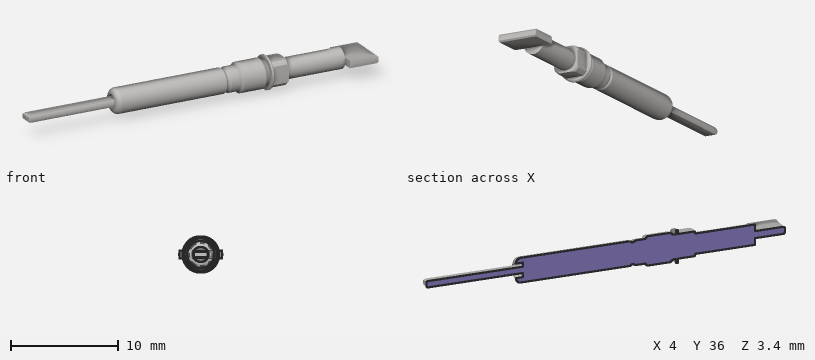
import cadquery as cq
import math

total_length = 36.0

paddle_width = 4.0
paddle_length = 3.0
paddle_thickness = 0.75
paddle_bevel = 0.15

shank_diameter = 2.1
shank_length = 6.0

square_width = 2.52
square_corner_diameter = 3.1
square_bevel_length = 0.18
square_bevel_depth = 0.15

flange_diameter = 3.4
flange_start = 25.02
flange_thickness = 0.3
flange_bevel = 0.1

sleeve_diameter = 2.52
sleeve_end = 9.0
sleeve_round = 0.5
collar_diameter = 3.0
collar_front = 21.95
collar_front_bevel = 0.2
collar_back = 24.85
collar_back_bevel = 0.35
groove_front = 20.5
groove_floor = 20.65
groove_back = 21.0
groove_depth = 0.15

bore_diameter = 1.4
bore_depth = 0.72
blade_diameter = 1.3
blade_thickness = 0.7
blade_bevel_length = 0.18
blade_bevel_depth = 0.1

paddle_start = total_length - paddle_length
shank_start = paddle_start - shank_length
bore_bottom = sleeve_end + bore_depth


def cylinder(diameter, start, end):
    """Round bar along Y from start to end."""
    return cq.Workplane("XZ", origin=(0, end, 0)).circle(diameter / 2).extrude(end - start)


def flattened_bar(diameter, thickness, start, end):
    """Round bar along Y with flats on its top and bottom."""
    slab = cq.Workplane("XY").box(diameter, end - start, thickness)
    slab = slab.translate((0, (start + end) / 2, 0))
    return cylinder(diameter, start, end).intersect(slab)


def sleeve():
    """Turned sleeve up to the flange, with the bore in its front end."""
    sleeve_radius = sleeve_diameter / 2
    collar_radius = collar_diameter / 2
    floor_radius = sleeve_radius - groove_depth
    groove_curve = ((groove_back - groove_floor) ** 2 + groove_depth**2) / (2 * groove_depth)
    round_inset = sleeve_round * (1 - math.sqrt(0.5))
    body = (
        cq.Workplane("XY")
        .moveTo(0, sleeve_end)
        .lineTo(sleeve_radius - sleeve_round, sleeve_end)
        .threePointArc(
            (sleeve_radius - round_inset, sleeve_end + round_inset),
            (sleeve_radius, sleeve_end + sleeve_round),
        )
        .lineTo(sleeve_radius, groove_front)
        .lineTo(floor_radius, groove_floor)
        .radiusArc((sleeve_radius, groove_back), groove_curve)
        .lineTo(sleeve_radius, collar_front)
        .lineTo(collar_radius, collar_front + collar_front_bevel)
        .lineTo(collar_radius, collar_back - collar_back_bevel)
        .lineTo(sleeve_radius, collar_back)
        .lineTo(sleeve_radius, flange_start)
        .lineTo(0, flange_start)
        .close()
        .revolve(360, (0, 0, 0), (0, 1, 0))
    )
    return body.cut(cylinder(bore_diameter, sleeve_end, bore_bottom))


def flange():
    """Thin disc between the sleeve and the square section."""
    disc = cylinder(flange_diameter, flange_start, flange_start + flange_thickness)
    return disc.faces(">Y").chamfer(flange_bevel)


def square_section():
    """Square wrench section with turned corners and a bevelled +Y end."""
    turned = cylinder(square_corner_diameter, flange_start, shank_start)
    turned = turned.faces(">Y").chamfer(square_bevel_length, square_bevel_depth)
    square = (
        cq.Workplane("XZ", origin=(0, shank_start, 0))
        .rect(square_width, square_width)
        .extrude(shank_start - flange_start)
    )
    return turned.intersect(square)


def paddle():
    """Wide flattened bar, bevelled along its two +Y edges."""
    bar = flattened_bar(paddle_width, paddle_thickness, paddle_start, total_length)
    return bar.faces(">Y").edges("|X").chamfer(paddle_bevel)


def blade():
    """Narrow flattened bar rooted in the bore, bevelled at its tip."""
    bar = flattened_bar(blade_diameter, blade_thickness, 0, bore_bottom)
    tip = cq.Workplane("YZ", origin=(-blade_diameter / 2, 0, 0))
    half = blade_thickness / 2
    for side in (1, -1):
        wedge = (
            tip.moveTo(0, side * half)
            .lineTo(blade_bevel_length, side * half)
            .lineTo(0, side * (half - blade_bevel_depth))
            .close()
            .extrude(blade_diameter)
        )
        bar = bar.cut(wedge)
    return bar


result = (
    sleeve()
    .union(flange())
    .union(square_section())
    .union(cylinder(shank_diameter, shank_start, paddle_start))
    .union(paddle())
    .union(blade())
)